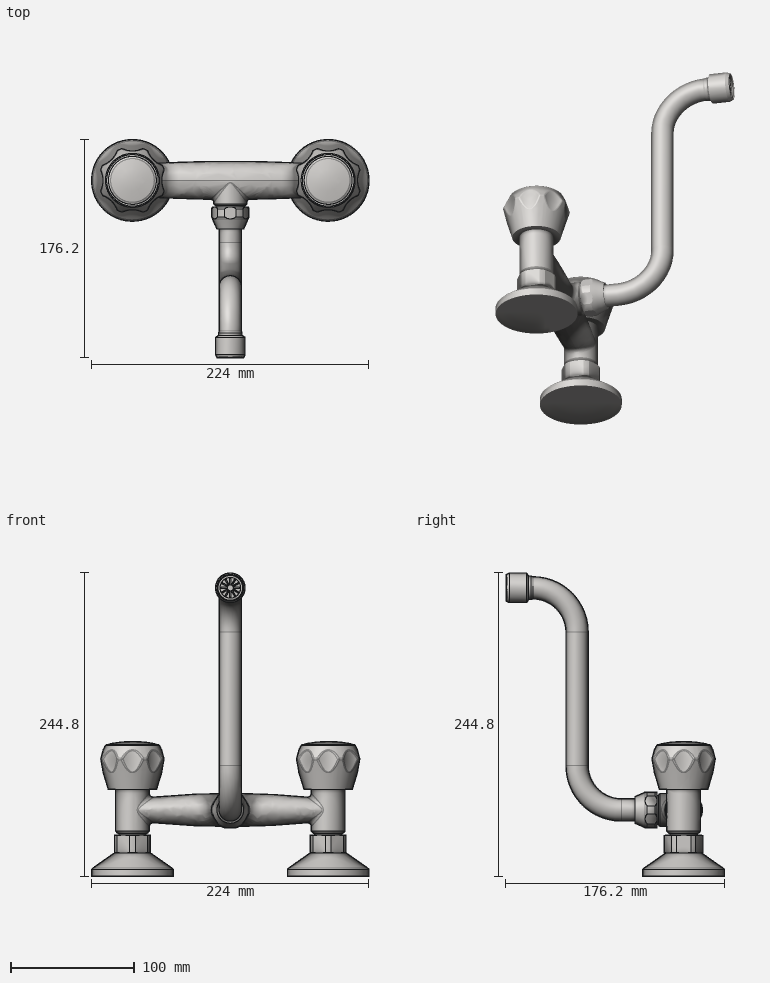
import cadquery as cq
import math

COLUMN_SPACING = 158.0
COLUMN_X = COLUMN_SPACING / 2
BAR_Z = 53.5

FLANGE_RADIUS = 33.0
FLANGE_EDGE_HEIGHT = 5.6
FLANGE_EDGE_CHAMFER = 1.2
FLANGE_CONE_TOP_RADIUS = 14.7
FOOT_NUT_BOTTOM_Z = 18.8
FOOT_NUT_TOP_Z = 33.3
FOOT_NUT_FLATS = 29.1
FOOT_NUT_CORNER_RADIUS = 15.7
FOOT_NUT_CHAMFER = 0.5
FOOT_NECK_RADIUS = 11.0
COLUMN_RADIUS = 13.7
COLUMN_BOTTOM_Z = 34.5
COLUMN_TOP_Z = 70.3
COLUMN_CHAMFER = 2.0

BAR_MID_HALF_HEIGHT = 13.5
BAR_MID_HALF_WIDTH = 15.5
BAR_END_HALF_HEIGHT = 8.5
BAR_END_HALF_WIDTH = 12.7
BAR_FILLET = 3.0
BOSS_FILLET = 2.5
BOSS_CREST_GAP = 0.1
BOSS_RADIUS = BAR_MID_HALF_HEIGHT - BOSS_CREST_GAP
BOSS_SHOULDER_Y = -20.3
BOSS_CHAMFER = 1.2
OUTLET_NECK_RADIUS = 11.8
OUTLET_NECK_END_Y = -21.3

KNOB_BOTTOM_RADIUS = 19.5
KNOB_LOWER_RADIUS = 23.7
KNOB_LOWER_Z = 84.0
KNOB_MAX_RADIUS = 27.2
KNOB_MAX_Z = 94.7
KNOB_UPPER_RADIUS = 24.5
KNOB_UPPER_Z = 100.4
KNOB_RIM_RADIUS = 21.8
KNOB_RIM_Z = 105.8
KNOB_LEDGE_OUTER_RADIUS = 20.8
KNOB_LEDGE_INNER_RADIUS = 19.3
KNOB_LEDGE_Z = 106.5
KNOB_CAP_RADIUS = 17.6
KNOB_CAP_Z = 107.2
KNOB_TOP_Z = 109.0
DIMPLE_COUNT = 8
DIMPLE_FLOOR_RADIUS = 23.7
DIMPLE_RADIUS = 18.5
DIMPLE_FILLET = 2.0

SPOUT_NUT_END_Y = -31.0
SPOUT_NUT_FLATS = 29.0
SPOUT_NUT_CORNER_RADIUS = 15.2
SPOUT_NUT_CHAMFER = 1.7
SPOUT_CONE_END_Y = -39.5
SPOUT_CONE_END_RADIUS = 10.8
PIPE_RADIUS = 9.0
BEND_RADIUS = 35.7
BEND_START_Y = -50.2
PIPE_TOP_Z = 232.8

AERATOR_END_Y = -143.2
AERATOR_RADIUS = 12.0
AERATOR_COLLAR_RADIUS = 9.5
AERATOR_COLLAR_START_Y = -123.1
AERATOR_CONE_START_Y = -125.0
AERATOR_BODY_START_Y = -126.5
AERATOR_CHAMFER_LENGTH = 2.7
AERATOR_CHAMFER_DEPTH = 1.2
AERATOR_RECESS_RADIUS = 10.0
AERATOR_RECESS_DEPTH = 0.7
GRILLE_RADIUS = 8.3
GRILLE_DEPTH = 2.0
SLOT_COUNT = 12
SLOT_INNER_RADIUS = 2.5
SLOT_OUTER_RADIUS = 7.5
SLOT_WIDTH = 1.0
SLOT_DEPTH = 2.5


def revolve_about_z(profile):
    return cq.Workplane("XZ").polyline(profile).close().revolve(360, (0, 0, 0), (0, 1, 0))


def revolve_about_spout(profile, axis_z):
    """Revolve (radius, y) points about a line along Y at the given height."""
    solid = cq.Workplane("XY").polyline(profile).close().revolve(360, (0, 0, 0), (0, 1, 0))
    return solid.translate((0, 0, axis_z))


def make_nut(flats, corner_radius, chamfer, length):
    """Hexagonal nut along Z from the origin, with two flats facing +-X.

    The corners are turned to a cylinder, and a cone at each end runs down to the width of the flats.
    """
    hexagon = cq.Workplane("XY").polygon(6, flats / math.cos(math.pi / 6)).extrude(length)
    envelope = revolve_about_z([
        (0, 0),
        (flats / 2, 0),
        (corner_radius, chamfer),
        (corner_radius, length - chamfer),
        (flats / 2, length),
        (0, length),
    ])
    return hexagon.rotate((0, 0, 0), (0, 0, 1), 30).intersect(envelope)


def make_foot():
    rim_z = FLANGE_EDGE_HEIGHT + FLANGE_EDGE_CHAMFER
    flange = revolve_about_z([
        (0, 0),
        (FLANGE_RADIUS, 0),
        (FLANGE_RADIUS, FLANGE_EDGE_HEIGHT),
        (FLANGE_RADIUS - FLANGE_EDGE_CHAMFER, rim_z),
        (FLANGE_CONE_TOP_RADIUS, FOOT_NUT_BOTTOM_Z),
        (0, FOOT_NUT_BOTTOM_Z),
    ])
    nut_height = FOOT_NUT_TOP_Z - FOOT_NUT_BOTTOM_Z
    nut = make_nut(FOOT_NUT_FLATS, FOOT_NUT_CORNER_RADIUS, FOOT_NUT_CHAMFER, nut_height)
    nut = nut.translate((0, 0, FOOT_NUT_BOTTOM_Z))
    neck = cq.Workplane("XY").circle(FOOT_NECK_RADIUS).extrude(COLUMN_BOTTOM_Z - FOOT_NUT_TOP_Z)
    return flange.union(nut).union(neck.translate((0, 0, FOOT_NUT_TOP_Z)))


def make_column():
    column = cq.Workplane("XY").circle(COLUMN_RADIUS).extrude(COLUMN_TOP_Z - COLUMN_BOTTOM_Z)
    return column.faces("<Z").chamfer(COLUMN_CHAMFER).translate((0, 0, COLUMN_BOTTOM_Z))


def bar_section(x, half_width, half_height):
    """Elliptical section across the bar, in two halves that meet at the top and bottom."""
    center = cq.Vector(x, 0, BAR_Z)
    along_bar = cq.Vector(1, 0, 0)
    across_bar = cq.Vector(0, 1, 0)
    halves = [
        cq.Edge.makeEllipse(half_width, half_height, center, along_bar, across_bar, start, start + 180)
        for start in (90, 270)
    ]
    return cq.Wire.assembleEdges(halves)


def make_bar():
    end = (BAR_END_HALF_WIDTH, BAR_END_HALF_HEIGHT)
    sections = [
        bar_section(-COLUMN_X, *end),
        bar_section(0, BAR_MID_HALF_WIDTH, BAR_MID_HALF_HEIGHT),
        bar_section(COLUMN_X, *end),
    ]
    return cq.Workplane(cq.Solid.makeLoft(sections))


def make_boss():
    boss = cq.Workplane("XZ", origin=(0, 0, BAR_Z)).circle(BOSS_RADIUS).extrude(-BOSS_SHOULDER_Y)
    boss = boss.faces("<Y").chamfer(BOSS_CHAMFER)
    neck = cq.Workplane("XZ", origin=(0, 0, BAR_Z)).circle(OUTLET_NECK_RADIUS).extrude(-OUTLET_NECK_END_Y)
    return boss.union(neck)


def fillet_joints(solid, x_min, x_max, y_min, y_max, radius):
    """Round the curved joint edges centred between the given X and Y limits, at the height of the bar."""
    box = cq.selectors.BoxSelector(
        (x_min, y_min, BAR_Z - BAR_MID_HALF_HEIGHT),
        (x_max, y_max, BAR_Z + BAR_MID_HALF_HEIGHT),
    )
    return solid.edges(box).edges("%BSPLINE").fillet(radius)


def make_body():
    body = make_bar()
    for side in (-1, 1):
        body = body.union(make_column().translate((side * COLUMN_X, 0, 0)))
        near_x, far_x = sorted((side * BOSS_RADIUS, side * COLUMN_X))
        body = fillet_joints(body, near_x, far_x, -COLUMN_RADIUS, COLUMN_RADIUS, BAR_FILLET)
    body = body.union(make_boss())
    body = fillet_joints(body, -BOSS_RADIUS, BOSS_RADIUS, -BAR_MID_HALF_WIDTH, -BOSS_FILLET, BOSS_FILLET)
    for side in (-1, 1):
        body = body.union(make_foot().translate((side * COLUMN_X, 0, 0)))
    return body


def make_knob():
    cap_rise = KNOB_TOP_Z - KNOB_CAP_Z
    cap_sphere_radius = (KNOB_CAP_RADIUS**2 + cap_rise**2) / (2 * cap_rise)
    blank = (
        cq.Workplane("XZ")
        .moveTo(0, COLUMN_TOP_Z)
        .lineTo(KNOB_BOTTOM_RADIUS, COLUMN_TOP_Z)
        .threePointArc((KNOB_LOWER_RADIUS, KNOB_LOWER_Z), (KNOB_MAX_RADIUS, KNOB_MAX_Z))
        .threePointArc((KNOB_UPPER_RADIUS, KNOB_UPPER_Z), (KNOB_RIM_RADIUS, KNOB_RIM_Z))
        .lineTo(KNOB_LEDGE_OUTER_RADIUS, KNOB_LEDGE_Z)
        .lineTo(KNOB_LEDGE_INNER_RADIUS, KNOB_LEDGE_Z)
        .lineTo(KNOB_CAP_RADIUS, KNOB_CAP_Z)
        .radiusArc((0, KNOB_TOP_Z), -cap_sphere_radius)
        .close()
        .revolve(360, (0, 0, 0), (0, 1, 0))
    )
    dimples = (
        cq.Workplane("XY", origin=(0, 0, COLUMN_TOP_Z))
        .polarArray(DIMPLE_FLOOR_RADIUS + DIMPLE_RADIUS, 0, 360, DIMPLE_COUNT)
        .circle(DIMPLE_RADIUS)
        .extrude(KNOB_TOP_Z - COLUMN_TOP_Z, combine=False)
    )
    knob = blank.cut(dimples)
    dimple_edges = cq.selectors.BoxSelector(
        (-KNOB_MAX_RADIUS, -KNOB_MAX_RADIUS, KNOB_LOWER_Z),
        (KNOB_MAX_RADIUS, KNOB_MAX_RADIUS, KNOB_UPPER_Z),
    )
    return knob.edges(dimple_edges).fillet(DIMPLE_FILLET)


def make_spout_nut():
    length = OUTLET_NECK_END_Y - SPOUT_NUT_END_Y
    nut = make_nut(SPOUT_NUT_FLATS, SPOUT_NUT_CORNER_RADIUS, SPOUT_NUT_CHAMFER, length)
    nut = nut.rotate((0, 0, 0), (0, 0, 1), 90).rotate((0, 0, 0), (1, 0, 0), 90)
    nut = nut.translate((0, OUTLET_NECK_END_Y, BAR_Z))
    cone = revolve_about_spout([
        (0, SPOUT_NUT_END_Y),
        (SPOUT_NUT_FLATS / 2, SPOUT_NUT_END_Y),
        (SPOUT_CONE_END_RADIUS, SPOUT_CONE_END_Y),
        (0, SPOUT_CONE_END_Y),
    ], BAR_Z)
    return nut.union(cone)


def make_pipe():
    rise_y = BEND_START_Y - BEND_RADIUS
    path = (
        cq.Workplane("YZ")
        .moveTo(SPOUT_CONE_END_Y, BAR_Z)
        .lineTo(BEND_START_Y, BAR_Z)
        .radiusArc((rise_y, BAR_Z + BEND_RADIUS), BEND_RADIUS)
        .lineTo(rise_y, PIPE_TOP_Z - BEND_RADIUS)
        .radiusArc((rise_y - BEND_RADIUS, PIPE_TOP_Z), -BEND_RADIUS)
    )
    return cq.Workplane("XZ", origin=(0, SPOUT_CONE_END_Y, BAR_Z)).circle(PIPE_RADIUS).sweep(path)


def make_aerator():
    start_y = BEND_START_Y - 2 * BEND_RADIUS
    face_radius = AERATOR_RADIUS - AERATOR_CHAMFER_DEPTH
    recess_y = AERATOR_END_Y + AERATOR_RECESS_DEPTH
    grille_y = AERATOR_END_Y + GRILLE_DEPTH
    aerator = revolve_about_spout([
        (0, start_y),
        (PIPE_RADIUS, start_y),
        (AERATOR_COLLAR_RADIUS, AERATOR_COLLAR_START_Y),
        (AERATOR_COLLAR_RADIUS, AERATOR_CONE_START_Y),
        (AERATOR_RADIUS, AERATOR_BODY_START_Y),
        (AERATOR_RADIUS, AERATOR_END_Y + AERATOR_CHAMFER_LENGTH),
        (face_radius, AERATOR_END_Y),
        (AERATOR_RECESS_RADIUS, AERATOR_END_Y),
        (AERATOR_RECESS_RADIUS, recess_y),
        (GRILLE_RADIUS, recess_y),
        (GRILLE_RADIUS, grille_y),
        (0, grille_y),
    ], PIPE_TOP_Z)
    slots = (
        cq.Workplane("XZ", origin=(0, grille_y, PIPE_TOP_Z))
        .polarArray((SLOT_INNER_RADIUS + SLOT_OUTER_RADIUS) / 2, 0, 360, SLOT_COUNT)
        .rect(SLOT_OUTER_RADIUS - SLOT_INNER_RADIUS, SLOT_WIDTH)
        .extrude(-SLOT_DEPTH, combine=False)
    )
    return aerator.cut(slots)


def make_spout():
    return make_spout_nut().union(make_pipe()).union(make_aerator())


body = make_body()
spout = make_spout()
knobs = [make_knob().translate((side * COLUMN_X, 0, 0)) for side in (-1, 1)]

result = cq.Compound.makeCompound([
    body.solids().val(),
    spout.solids().val(),
    *[knob.solids().val() for knob in knobs],
])